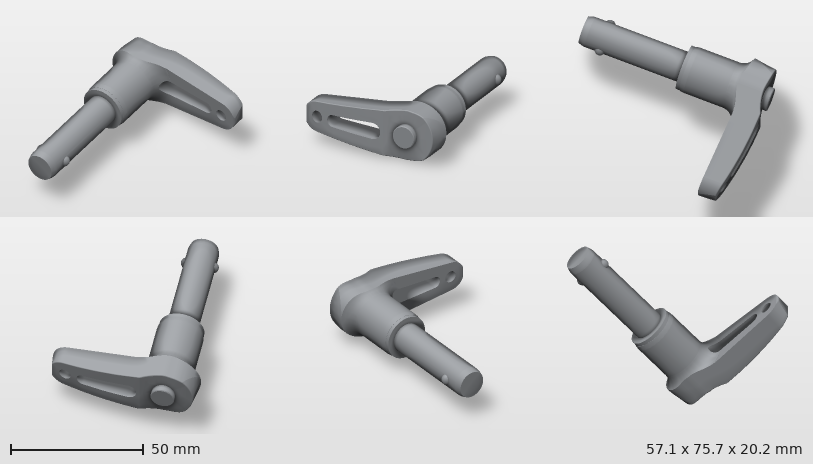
import cadquery as cq
import math


total_length = 75.7
shank_radius = 12.0 / 2
shank_length = 40.6
tip_radius = 5.4
tip_bulge_radius = 5.8
tip_length = 2.7
ball_radius = 2.1
ball_reach = 7.3
ball_y = -31.95

collar_radius = 9.1
rim_radius = 8.7
rim_length = 1.5
taper_radius = 8.8
taper_bulge_radius = 9.0
taper_bulge_y = 2.4
taper_end_y = 3.55
flare_start_y = 19.0
flare_radius = 5.4

button_radius = 9.15 / 2
button_top_y = total_length - shank_length
button_chamfer = 0.3

hub_radius = 20.2 / 2
back_radius = 19.6 / 2
back_reach = 12.65
back_x = back_radius - back_reach
end_radius = 6.2
end_reach = 44.6
end_x = end_reach - end_radius

flare_outer_radius = collar_radius + flare_radius
underside_y = flare_start_y + flare_radius
end_bottom_y = 22.85
end_top_x = 43.6
end_top_y = 29.9
end_fillet = 0.75
top_edge_fillet = 0.4
hump_x = 8.85
hump_y = 34.45
arm_mid_x = 26.5
arm_mid_y = 33.2
saddle_end_x = -8.7
hump_direction = (-2, -1)
saddle_y = 32.3
top_face_normal = 0.7
back_top_y = 33.1
back_top_radius = 11.35
back_bottom_y = 23.85

slot_inner_x = 13.4
slot_inner_radius = 6.6 / 2
slot_outer_x = 31.2
slot_outer_radius = 2.4
hole_radius = 2.35


def tangent_points(x1, r1, x2, r2):
    """Upper tangent points of two circles centred on the X axis."""
    cosine = (r1 - r2) / (x2 - x1)
    sine = math.sqrt(1 - cosine**2)
    return (x1 + r1 * cosine, r1 * sine), (x2 + r2 * cosine, r2 * sine)


def mirrored(point):
    return point[0], -point[1]


def tapered_slot(x1, r1, x2, r2):
    """Closed wire around two circles, in the XZ plane."""
    first, second = tangent_points(x1, r1, x2, r2)
    return (
        cq.Workplane("XZ")
        .moveTo(*first)
        .lineTo(*second)
        .threePointArc((x2 + r2, 0), mirrored(second))
        .lineTo(*mirrored(first))
        .threePointArc((x1 - r1, 0), first)
        .close()
    )


def make_pin():
    """Shank, collar and button revolved about the Y axis."""
    return (
        cq.Workplane("XY")
        .moveTo(0, -shank_length)
        .lineTo(tip_radius, -shank_length)
        .threePointArc(
            (tip_bulge_radius, tip_length / 2 - shank_length), (shank_radius, tip_length - shank_length)
        )
        .lineTo(shank_radius, 0)
        .lineTo(rim_radius, 0)
        .lineTo(rim_radius, rim_length)
        .lineTo(taper_radius, rim_length)
        .threePointArc((taper_bulge_radius, taper_bulge_y), (collar_radius, taper_end_y))
        .lineTo(collar_radius, flare_start_y)
        .lineTo(button_radius, flare_start_y)
        .lineTo(button_radius, button_top_y - button_chamfer)
        .lineTo(button_radius - button_chamfer, button_top_y)
        .lineTo(0, button_top_y)
        .close()
        .revolve(360, (0, 0), (0, 1))
    )


def make_balls():
    center_x = ball_reach - ball_radius
    balls = cq.Workplane("XY").pushPoints([(-center_x, ball_y), (center_x, ball_y)])
    return balls.sphere(ball_radius)


def make_outline():
    """Lever seen along Y, as a prism taller than the lever."""
    back = tapered_slot(back_x, back_radius, 0, hub_radius)
    arm = tapered_slot(0, hub_radius, end_x, end_radius)
    return back.extrude(-button_top_y).union(arm.extrude(-button_top_y))


def make_arm_profile():
    """Lever seen along Z, with a saddle under the button and a bowed arm top."""
    return (
        cq.Workplane("XY")
        .moveTo(-back_reach, flare_start_y)
        .lineTo(flare_outer_radius, flare_start_y)
        .lineTo(flare_outer_radius, underside_y)
        .lineTo(end_reach, end_bottom_y)
        .lineTo(end_top_x, end_top_y)
        .threePointArc((arm_mid_x, arm_mid_y), (hump_x, hump_y))
        .spline(
            [(0, saddle_y), (saddle_end_x, back_top_y)],
            tangents=[hump_direction, (-1, 0)],
            includeCurrent=True,
        )
        .lineTo(-back_reach, back_top_y)
        .close()
        .extrude(hub_radius, both=True)
        .edges(cq.selectors.NearestToPointSelector((end_reach, end_bottom_y, 0)))
        .fillet(end_fillet)
    )


def revolved_about_pin(profile):
    return profile.close().revolve(360, (0, 0), (0, 1))


def make_flare():
    """Turned body whose concave flank blends the collar into the lever underside."""
    diagonal = flare_radius * math.sqrt(0.5)
    flare_middle = (flare_outer_radius - diagonal, flare_start_y + diagonal)
    return revolved_about_pin(
        cq.Workplane("XY")
        .moveTo(0, flare_start_y)
        .lineTo(collar_radius, flare_start_y)
        .threePointArc(flare_middle, (flare_outer_radius, underside_y))
        .lineTo(flare_outer_radius, button_top_y)
        .lineTo(0, button_top_y)
    )


def make_back_cone():
    """Cone that bevels the rounded back of the lever."""
    slope = (back_reach - back_top_radius) / (back_top_y - back_bottom_y)
    return revolved_about_pin(
        cq.Workplane("XY")
        .moveTo(0, flare_start_y)
        .lineTo(back_reach + slope * (back_bottom_y - flare_start_y), flare_start_y)
        .lineTo(back_reach - slope * (button_top_y - back_bottom_y), button_top_y)
        .lineTo(0, button_top_y)
    )


def make_arm_space():
    """Everything above the sloping underside on the arm side of the pin axis."""
    underside_slope = (underside_y - end_bottom_y) / (end_reach - flare_outer_radius)
    return (
        cq.Workplane("XY")
        .moveTo(0, underside_y + underside_slope * flare_outer_radius)
        .lineTo(end_reach, end_bottom_y)
        .lineTo(end_reach, button_top_y)
        .lineTo(0, button_top_y)
        .close()
        .extrude(hub_radius, both=True)
    )


def round_top_edges(lever):
    """Round the outer rim of the top, leaving the joints between its faces."""
    top_faces = [face for face in lever.faces().vals() if face.normalAt().y > top_face_normal]
    rim = []
    for face in top_faces:
        for edge in face.outerWire().Edges():
            owners = [other for other in top_faces if any(edge.isSame(e) for e in other.Edges())]
            if len(owners) == 1:
                rim.append(edge)
    return lever.newObject(rim).fillet(top_edge_fillet)


def make_lever():
    arm_space = make_arm_space()
    front_half = cq.Workplane("XY").box(
        end_reach, button_top_y, 2 * hub_radius, centered=(False, False, True)
    )
    lever = make_outline().intersect(make_arm_profile())
    lever = lever.intersect(make_flare().union(arm_space))
    lever = lever.intersect(make_back_cone().union(front_half))
    lever = round_top_edges(lever)
    slot = tapered_slot(slot_inner_x, slot_inner_radius, slot_outer_x, slot_outer_radius)
    hole = cq.Workplane("XZ").center(end_x, 0).circle(hole_radius)
    return lever.cut(slot.extrude(-button_top_y)).cut(hole.extrude(-button_top_y))


result = make_pin().union(make_lever()).union(make_balls())